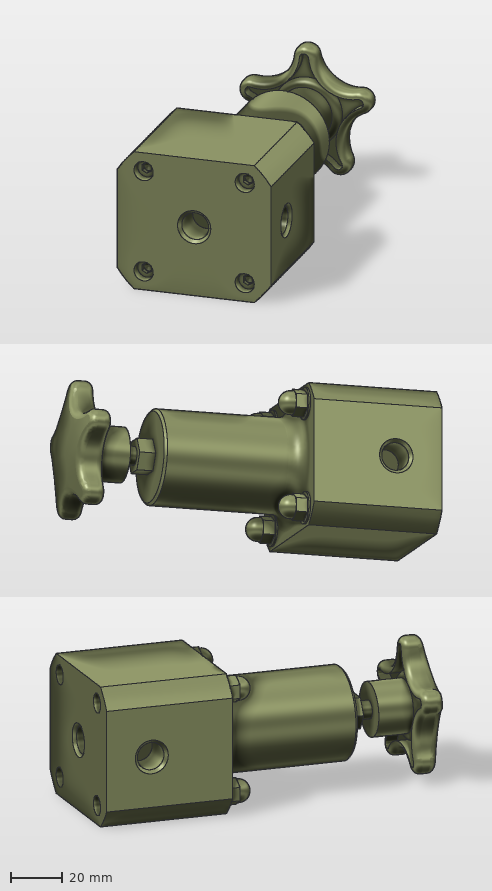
import cadquery as cq
import math


block_width = 63.5
block_height = 57.1
block_length = 52.6
corner_diameter = 75.6

port_diameter = 11.1
port_mouth_diameter = 13.7
port_chamfer = (port_mouth_diameter - port_diameter) / 2
port_depth = 14.6
side_port_y = 18.8

screw_offset = 20.9
screw_bore_diameter = 7.9
screw_head_diameter = 7.5
screw_head_recess = 4.0
screw_head_height = 5.0
socket_flats = 3.8
socket_depth = 2.2
washer_diameter = 12.7
washer_thickness = 0.7
cap_nut_flats = 9.5
cap_nut_height = 4.7
cap_neck_height = 0.9

bonnet_diameter = 38.1
bonnet_end_y = 109.8
bonnet_chamfer = 1.0
bonnet_root_radius = 6.4

lock_nut_flats = 12.7
lock_nut_end_y = 116.4
spindle_diameter = 7.5

knob_end_y = 146.0
knob_thickness = 12.0
hub_diameter = 22.0
hub_start_y = 121.4
hub_root_radius = 3.2
hub_embed = 0.7
lobe_count = 5
lobe_circle_radius = 23.7
lobe_radius = 4.8
valley_center_radius = 31.3
crown_radius = 102.2
rim_radius = 2.9
crown_edge_radius = 2.9
pocket_depth = 5.0

hex_corner_ratio = 2 / math.sqrt(3)
knob_start_y = knob_end_y - knob_thickness


def section(y):
    """Plane across the valve axis at height y: local x is Z, local y is X, normal is +Y."""
    return cq.Workplane("ZX", origin=(0, y, 0))


def disc(diameter, start_y, end_y):
    return section(start_y).circle(diameter / 2).extrude(end_y - start_y)


def at_screws(start_y):
    spacing = 2 * screw_offset
    return section(start_y).rect(spacing, spacing, forConstruction=True).vertices()


def port():
    """Blind port with a countersunk mouth, entering along +Y from Y = 0."""
    bore_radius = port_diameter / 2
    profile = [
        (0, 0),
        (port_mouth_diameter / 2, 0),
        (bore_radius, port_chamfer),
        (bore_radius, port_depth),
        (0, port_depth),
    ]
    return cq.Workplane("XY").polyline(profile).close().revolve(360, (0, 0), (0, 1))


def make_block():
    block = section(0).rect(block_height, block_width).extrude(block_length)
    block = block.intersect(disc(corner_diameter, 0, block_length))
    block = block.cut(port())
    for turn, side in ((-90, -1), (90, 1)):
        side_port = port().rotate((0, 0, 0), (0, 0, 1), turn)
        block = block.cut(side_port.translate((side * block_width / 2, side_port_y, 0)))
    return block


def recess_screws(body):
    """Socket head screws sunk in the port face, with a narrow gap around each head."""
    bore_depth = screw_head_recess + screw_head_height
    socket_end_y = screw_head_recess + socket_depth
    cone_height = socket_flats / 4
    bores = at_screws(0).circle(screw_bore_diameter / 2).extrude(bore_depth)
    heads = at_screws(screw_head_recess).circle(screw_head_diameter / 2).extrude(screw_head_height)
    sockets = at_screws(screw_head_recess).polygon(6, socket_flats * hex_corner_ratio).extrude(socket_depth)
    body = body.cut(bores).union(heads).cut(sockets)
    for x in (-screw_offset, screw_offset):
        for z in (-screw_offset, screw_offset):
            tip = cq.Solid.makeCone(
                socket_flats / 2, 0, cone_height, pnt=(x, socket_end_y, z), dir=(0, 1, 0)
            )
            body = body.cut(cq.Workplane(tip))
    return body


def make_cap_nuts():
    """Washer, hexagon with corners toward +Z and -Z, neck and dome at each screw."""
    hex_y = block_length + washer_thickness
    neck_y = hex_y + cap_nut_height
    dome_y = neck_y + cap_neck_height
    neck_radius = cap_nut_flats / 2
    nuts = at_screws(block_length).circle(washer_diameter / 2).extrude(washer_thickness)
    nuts = nuts.union(at_screws(hex_y).polygon(6, cap_nut_flats * hex_corner_ratio).extrude(cap_nut_height))
    nuts = nuts.union(at_screws(neck_y).circle(neck_radius).extrude(cap_neck_height))
    return nuts.union(at_screws(dome_y).sphere(neck_radius))


def make_bonnet():
    """Chamfered cylinder flaring into the block through a concave root."""
    radius = bonnet_diameter / 2
    flare_radius = radius + bonnet_root_radius
    root_end_y = block_length + bonnet_root_radius
    return (
        cq.Workplane("XY")
        .moveTo(0, block_length)
        .lineTo(flare_radius, block_length)
        .radiusArc((radius, root_end_y), bonnet_root_radius)
        .lineTo(radius, bonnet_end_y - bonnet_chamfer)
        .lineTo(radius - bonnet_chamfer, bonnet_end_y)
        .lineTo(0, bonnet_end_y)
        .close()
        .revolve(360, (0, 0), (0, 1))
    )


def make_spindle():
    nut_height = lock_nut_end_y - bonnet_end_y
    lock_nut = section(bonnet_end_y).polygon(6, lock_nut_flats * hex_corner_ratio).extrude(nut_height)
    lock_nut = lock_nut.rotate((0, 0, 0), (0, 1, 0), 90)
    return lock_nut.union(disc(spindle_diameter, bonnet_end_y, hub_start_y))


def polar(radius, angle):
    return (radius * math.cos(angle), radius * math.sin(angle))


def star(start_y, height, inset):
    """Prism with rounded lobes and tangent round valleys, shrunk inward by inset."""
    half_pitch = math.pi / lobe_count
    gap_x = valley_center_radius * math.cos(half_pitch) - lobe_circle_radius
    gap_y = valley_center_radius * math.sin(half_pitch)
    valley_radius = math.hypot(gap_x, gap_y) - lobe_radius + inset
    tip_radius = lobe_radius - inset
    tangent_angle = math.atan2(gap_y, gap_x)
    tangent_x = lobe_circle_radius + tip_radius * math.cos(tangent_angle)
    tangent_y = tip_radius * math.sin(tangent_angle)
    tangent_radius = math.hypot(tangent_x, tangent_y)
    tangent_turn = math.atan2(tangent_y, tangent_x)

    outline = section(start_y).moveTo(*polar(tangent_radius, -tangent_turn))
    for lobe in range(lobe_count):
        angle = 2 * half_pitch * lobe
        next_angle = angle + 2 * half_pitch
        outline = outline.threePointArc(
            polar(lobe_circle_radius + tip_radius, angle),
            polar(tangent_radius, angle + tangent_turn),
        )
        outline = outline.threePointArc(
            polar(valley_center_radius - valley_radius, angle + half_pitch),
            polar(tangent_radius, next_angle - tangent_turn),
        )
    return outline.close().extrude(height)


def make_knob():
    """Star with a crowned outer face, rounded rim, hollow underside and a central hub."""
    crown = cq.Workplane("XY", origin=(0, knob_end_y - crown_radius, 0)).sphere(crown_radius)
    knob = star(knob_start_y, knob_thickness + crown_edge_radius, 0).intersect(crown)
    knob = knob.faces("<Y").edges().fillet(rim_radius)
    knob = knob.faces(">Y").edges().fillet(crown_edge_radius)
    pocket = star(knob_start_y, pocket_depth, rim_radius)
    pocket_floor_y = knob_start_y + pocket_depth
    hub_radius = hub_diameter / 2
    hub = (
        cq.Workplane("XY")
        .moveTo(0, hub_start_y)
        .lineTo(hub_radius, hub_start_y)
        .lineTo(hub_radius, pocket_floor_y - hub_root_radius)
        .radiusArc((hub_radius + hub_root_radius, pocket_floor_y), -hub_root_radius)
        .lineTo(hub_radius + hub_root_radius, pocket_floor_y + hub_embed)
        .lineTo(0, pocket_floor_y + hub_embed)
        .close()
        .revolve(360, (0, 0), (0, 1))
    )
    return knob.cut(pocket).union(hub)


body = recess_screws(make_block())
result = body.union(make_bonnet()).union(make_cap_nuts()).union(make_spindle()).union(make_knob())